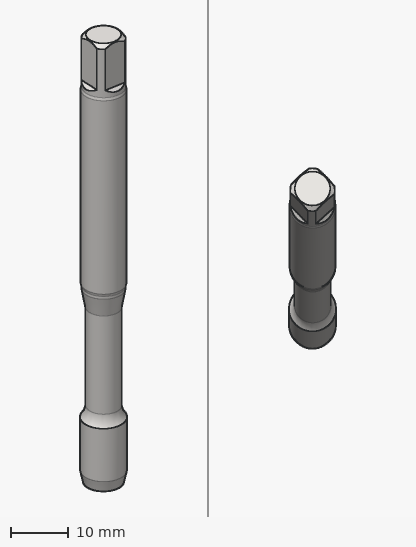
import cadquery as cq
import math

TOTAL_LENGTH = 90.0

HEAD_DIAMETER = 8.2
TIP_DIAMETER = 7.2
TIP_LENGTH = 2.3
HEAD_LENGTH = 13.0

NECK_DIAMETER = 6.4
NECK_START = 15.4
NECK_END = 35.2

SHANK_DIAMETER = 8.0
SHANK_END_DIAMETER = 7.7
SHANK_TAPER_START = 39.0
SHANK_BEVEL_LENGTH = 0.5
SHANK_BEVEL_START = 39.5
SHANK_TOP = 79.6

SQUARE_WIDTH = 6.4
FLAT_START = 81.0
TOP_FACE_DIAMETER = 6.1
TOP_CHAMFER = 0.7

head_radius = HEAD_DIAMETER / 2
neck_radius = NECK_DIAMETER / 2
shank_radius = SHANK_DIAMETER / 2
shank_end_radius = SHANK_END_DIAMETER / 2


def make_cutting_head():
    """Cylindrical head with a tapered lead at the tip."""
    profile = [
        (0, 0),
        (TIP_DIAMETER / 2, 0),
        (head_radius, TIP_LENGTH),
        (head_radius, HEAD_LENGTH),
        (0, HEAD_LENGTH),
    ]
    return cq.Workplane("XZ").polyline(profile).close().revolve(360, (0, 0), (0, 1))


def make_turned_shank():
    """Neck and shank turned about Z, before the drive flats are cut."""
    upper_profile = [
        (neck_radius, NECK_END),
        (shank_end_radius, SHANK_TAPER_START),
        (shank_end_radius, SHANK_BEVEL_START),
        (shank_radius, SHANK_BEVEL_START + SHANK_BEVEL_LENGTH),
        (shank_radius, SHANK_TOP - SHANK_BEVEL_LENGTH),
        (shank_end_radius, SHANK_TOP),
        (shank_end_radius, TOTAL_LENGTH - TOP_CHAMFER),
        (TOP_FACE_DIAMETER / 2, TOTAL_LENGTH),
        (0, TOTAL_LENGTH),
    ]
    flare_height = NECK_START - HEAD_LENGTH
    flare_width = head_radius - neck_radius
    flare_radius = (flare_height**2 + flare_width**2) / (2 * flare_width)
    half_angle = math.asin(flare_height / flare_radius) / 2
    flare_middle = (
        neck_radius + flare_radius * (1 - math.cos(half_angle)),
        NECK_START - flare_radius * math.sin(half_angle),
    )
    return (
        cq.Workplane("XZ")
        .moveTo(0, HEAD_LENGTH)
        .lineTo(head_radius, HEAD_LENGTH)
        .threePointArc(flare_middle, (neck_radius, NECK_START))
        .polyline(upper_profile, includeCurrent=True)
        .close()
        .revolve(360, (0, 0), (0, 1))
    )


def make_flat_cutter():
    """Prism that mills one drive flat on the +X side, with a 45 degree run-out."""
    flat_distance = SQUARE_WIDTH / 2
    reach = SHANK_DIAMETER - flat_distance
    profile = [
        (flat_distance, TOTAL_LENGTH),
        (flat_distance, FLAT_START),
        (flat_distance + reach, FLAT_START - reach),
        (flat_distance + reach, TOTAL_LENGTH),
    ]
    return cq.Workplane("XZ").polyline(profile).close().extrude(shank_radius, both=True)


def make_shank():
    """Turned shank with four flats forming the square drive."""
    shank = make_turned_shank()
    for quarter in range(4):
        shank = shank.cut(make_flat_cutter().rotate((0, 0, 0), (0, 0, 1), quarter * 90))
    return shank


cutting_head = make_cutting_head()
shank = make_shank()

result = cq.Compound.makeCompound([cutting_head.val(), shank.val()])